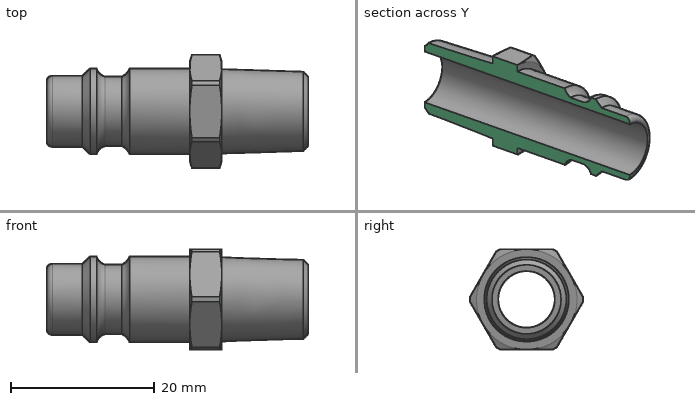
import cadquery as cq
import math

length = 36.5
ridge_ramp_start = 5.0
ridge_start = 6.05
ridge_end = 6.97
neck_start = 8.15
neck_end = 10.5
body_start = 11.57
hex_start = 19.95
hex_end = 24.42

bore_diameter = 7.85
nose_diameter = 9.95
nose_round = 0.8
neck_diameter = 9.75
body_diameter = 12.0
ridge_fillet = 1.65
body_fillet = 2.0
thread_end_diameter = 11.1
thread_taper = 1 / 16
thread_chamfer = 0.73

across_flats = 14.0
corner_diameter = 15.8
hex_chamfer_depth = 0.3

nose_radius = nose_diameter / 2
neck_radius = neck_diameter / 2
body_radius = body_diameter / 2


def revolve_about_x(profile):
    return profile.close().revolve(360, (0, 0, 0), (1, 0, 0))


def make_turned_body():
    """Revolve the plug and the tapered thread blank as one solid bar."""
    thread_end_radius = thread_end_diameter / 2
    taper_start = length - thread_chamfer
    thread_start_radius = thread_end_radius + thread_taper * (taper_start - hex_end) / 2
    round_offset = nose_round * (1 - math.sqrt(0.5))
    profile = (
        cq.Workplane("XY")
        .moveTo(0, 0)
        .lineTo(0, nose_radius - nose_round)
        .threePointArc((round_offset, nose_radius - round_offset), (nose_round, nose_radius))
        .lineTo(ridge_ramp_start, nose_radius)
        .lineTo(ridge_start, body_radius)
        .lineTo(ridge_end, body_radius)
        .radiusArc((neck_start, neck_radius), -ridge_fillet)
        .lineTo(neck_end, neck_radius)
        .radiusArc((body_start, body_radius), -body_fillet)
        .lineTo(hex_end, body_radius)
        .lineTo(hex_end, thread_start_radius)
        .lineTo(taper_start, thread_end_radius)
        .lineTo(length, thread_end_radius - thread_chamfer)
        .lineTo(length, 0)
    )
    return revolve_about_x(profile)


def make_hexagon():
    """Hexagon with flats facing +Z and -Z, its corners turned down and chamfered."""
    corner_radius = corner_diameter / 2
    face_radius = across_flats / 2
    prism = (
        cq.Workplane("YZ", origin=(hex_start, 0, 0))
        .polygon(6, across_flats, circumscribed=True)
        .extrude(hex_end - hex_start)
        .rotate((0, 0, 0), (1, 0, 0), 90)
    )
    envelope = (
        cq.Workplane("XY")
        .moveTo(hex_start, 0)
        .lineTo(hex_start, face_radius)
        .lineTo(hex_start + hex_chamfer_depth, corner_radius)
        .lineTo(hex_end - hex_chamfer_depth, corner_radius)
        .lineTo(hex_end, face_radius)
        .lineTo(hex_end, 0)
    )
    return prism.intersect(revolve_about_x(envelope))


bore = cq.Workplane("YZ").circle(bore_diameter / 2).extrude(length)

result = make_turned_body().union(make_hexagon()).cut(bore)